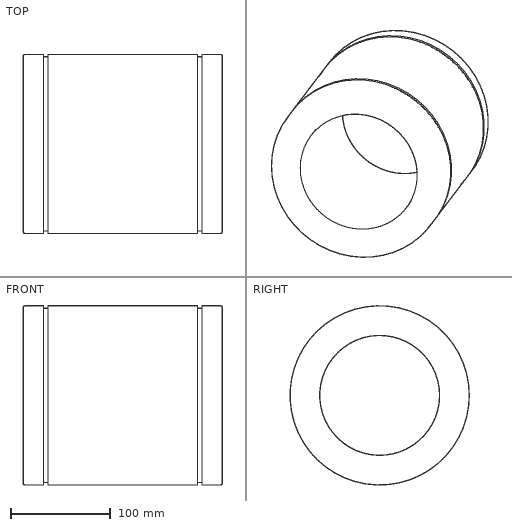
import cadquery as cq

length = 200.0
outer_diameter = 180.0
bore_diameter = 120.0
edge_fillet = 2.0

groove_width = 4.2
groove_depth = 2.5
groove_outer_span = 158.8


def sleeve_body():
    """Solid cylinder centred on the origin with rounded end rims."""
    body = cq.Workplane("YZ").circle(outer_diameter / 2).extrude(length / 2, both=True)
    return body.faces("<X or >X").edges().fillet(edge_fillet)


def groove_ring(center_x):
    """Ring of material to remove for one groove."""
    return (
        cq.Workplane("YZ", origin=(center_x - groove_width / 2, 0, 0))
        .circle(outer_diameter / 2 + groove_depth)
        .circle(outer_diameter / 2 - groove_depth)
        .extrude(groove_width)
    )


def bore():
    """Through bore along the sleeve axis."""
    return cq.Workplane("YZ").circle(bore_diameter / 2).extrude(length / 2, both=True)


result = sleeve_body().cut(bore())
groove_center = (groove_outer_span - groove_width) / 2
for side in (-1, 1):
    result = result.cut(groove_ring(side * groove_center))